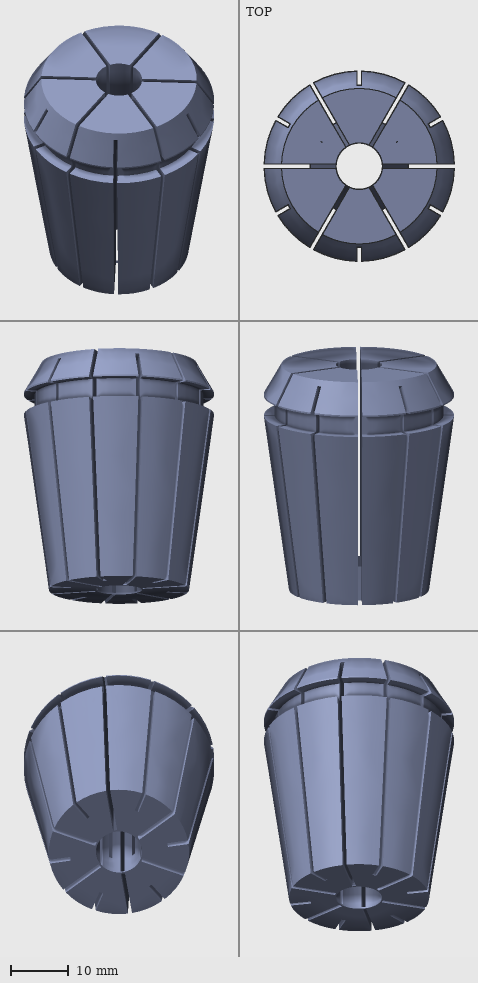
import cadquery as cq
import math

height = 40.0
rim_diameter = 33.0
bore_diameter = 8.0

taper_height = 30.95
taper_angle = 8.0

groove_width = 3.5
groove_diameter = 29.3
rim_thickness = 0.3
nose_angle = 30.0

slits_per_set = 6
slit_width = 0.7
saw_radius = 32.0
nose_slit_end_height = 5.0
nose_slit_exit_radius = 8.5
tail_slit_top_height = 27.05
tail_slit_exit_height = 39.0
tail_slit_lip = 0.3
overrun = 2.0

rim_radius = rim_diameter / 2
bore_radius = bore_diameter / 2
tail_radius = rim_radius - taper_height * math.tan(math.radians(taper_angle))
groove_top = taper_height + groove_width
cone_base = groove_top + rim_thickness
nose_slope = math.tan(math.radians(nose_angle))
nose_radius = rim_radius - (height - cone_base) * nose_slope
tail_slit_exit_radius = nose_radius + (height - tail_slit_exit_height) * nose_slope
slit_reach = rim_radius + overrun
slit_pitch = 360 / slits_per_set


def turned_body():
    """Tapered body with groove, conical nose and through bore."""
    groove_radius = groove_diameter / 2
    return (
        cq.Workplane("XZ")
        .moveTo(bore_radius, 0)
        .lineTo(tail_radius, 0)
        .lineTo(rim_radius, taper_height)
        .lineTo(groove_radius, taper_height)
        .lineTo(groove_radius, groove_top)
        .lineTo(rim_radius, groove_top)
        .lineTo(rim_radius, cone_base)
        .lineTo(nose_radius, height)
        .lineTo(bore_radius, height)
        .close()
        .revolve(360, (0, 0, 0), (0, 1, 0))
    )


def nose_slit():
    """Slit open at the nose, whose floor is hollowed by the saw near the small end."""
    return (
        cq.Workplane("XZ")
        .moveTo(0, height + overrun)
        .lineTo(0, nose_slit_end_height)
        .lineTo(bore_radius, nose_slit_end_height)
        .radiusArc((nose_slit_exit_radius, 0), -saw_radius)
        .lineTo(nose_slit_exit_radius, -overrun)
        .lineTo(slit_reach, -overrun)
        .lineTo(slit_reach, height + overrun)
        .close()
        .extrude(slit_width / 2, both=True)
    )


def tail_slit():
    """Slit open at the small end, whose roof is hollowed by the saw up to the nose cone."""
    lip_exit_radius = bore_radius + tail_slit_lip
    return (
        cq.Workplane("XZ")
        .moveTo(0, tail_slit_lip)
        .lineTo(0, tail_slit_top_height)
        .lineTo(bore_radius, tail_slit_top_height)
        .radiusArc((tail_slit_exit_radius, tail_slit_exit_height), saw_radius)
        .lineTo(slit_reach, tail_slit_exit_height)
        .lineTo(slit_reach, -overrun)
        .lineTo(lip_exit_radius, -overrun)
        .lineTo(lip_exit_radius, 0)
        .lineTo(bore_radius, tail_slit_lip)
        .close()
        .extrude(slit_width / 2, both=True)
    )


def turned_about_axis(shape, angle):
    """Copy of a shape swung about the Z axis by an angle in degrees."""
    return shape.rotate((0, 0, 0), (0, 0, 1), angle)


result = turned_body()
for index in range(slits_per_set):
    nose_slit_angle = index * slit_pitch
    tail_slit_angle = nose_slit_angle + slit_pitch / 2
    result = result.cut(turned_about_axis(nose_slit(), nose_slit_angle))
    result = result.cut(turned_about_axis(tail_slit(), tail_slit_angle))